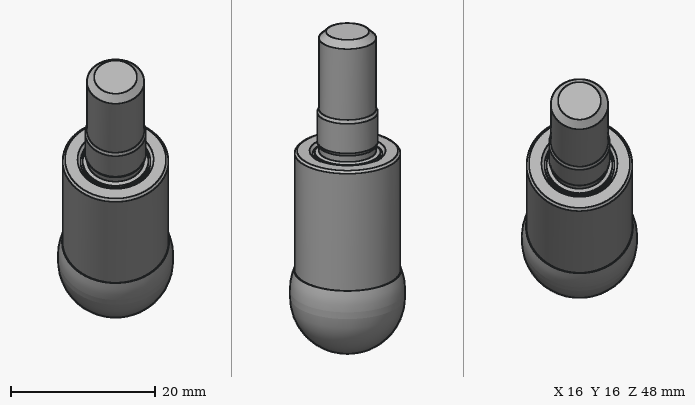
import cadquery as cq
import math

total_height = 48.0
ball_radius = 8.0
band_height = 1.0
neck_level = 12.0
housing_radius = 7.35
housing_top = 30.0
housing_chamfer = 0.35

recess_radius = 5.3
recess_inner_radius = 4.85
recess_depth = 0.6
stud_root_radius = 4.55
stud_root_length = 9.6
root_cone_height = 0.2

shank_radius = 4.0
collar_radius = 4.2
collar_bottom = 31.4
collar_top = 36.35
collar_bevel_height = 0.5
tip_radius = 3.0
tip_chamfer_height = 0.95

recess_floor = housing_top - recess_depth
stud_bottom = recess_floor - stud_root_length


def revolve_profile(profile):
    """Turn a closed radius/height profile fully around Z."""
    return profile.close().revolve(360, (0, 0, 0), (0, 1, 0))


def make_housing():
    """Ball-nosed cylinder with a stepped recess and a blind bore for the stud."""
    band_top = ball_radius + band_height
    shoulder_rise = neck_level - band_top
    shoulder_radius = math.sqrt(ball_radius**2 - shoulder_rise**2)
    half_sine = math.sin(math.pi / 4)
    nose_mid = (ball_radius * half_sine, ball_radius * (1 - half_sine))
    mid_rise = shoulder_rise / 2
    shoulder_mid = (math.sqrt(ball_radius**2 - mid_rise**2), band_top + mid_rise)
    bevel_depth = recess_radius - recess_inner_radius

    profile = (
        cq.Workplane("XZ")
        .moveTo(0, 0)
        .threePointArc(nose_mid, (ball_radius, ball_radius))
        .lineTo(ball_radius, band_top)
        .threePointArc(shoulder_mid, (shoulder_radius, neck_level))
        .lineTo(housing_radius, neck_level)
        .lineTo(housing_radius, housing_top - housing_chamfer)
        .lineTo(housing_radius - housing_chamfer, housing_top)
        .lineTo(recess_radius, housing_top)
        .lineTo(recess_inner_radius, housing_top - bevel_depth)
        .lineTo(recess_inner_radius, recess_floor)
        .lineTo(stud_root_radius, recess_floor)
        .lineTo(stud_root_radius, stud_bottom)
        .lineTo(0, stud_bottom)
    )
    return revolve_profile(profile)


def make_stud():
    """Stepped stud with a bevelled collar, seated in the housing bore."""
    profile = (
        cq.Workplane("XZ")
        .moveTo(0, stud_bottom)
        .lineTo(stud_root_radius, stud_bottom)
        .lineTo(stud_root_radius, recess_floor)
        .lineTo(stud_root_radius, housing_top - root_cone_height)
        .lineTo(shank_radius, housing_top)
        .lineTo(shank_radius, collar_bottom - collar_bevel_height)
        .lineTo(collar_radius, collar_bottom)
        .lineTo(collar_radius, collar_top - collar_bevel_height)
        .lineTo(shank_radius, collar_top)
        .lineTo(shank_radius, total_height - tip_chamfer_height)
        .lineTo(tip_radius, total_height)
        .lineTo(0, total_height)
    )
    return revolve_profile(profile)


housing = make_housing()
stud = make_stud()
result = cq.Compound.makeCompound([housing.val(), stud.val()])